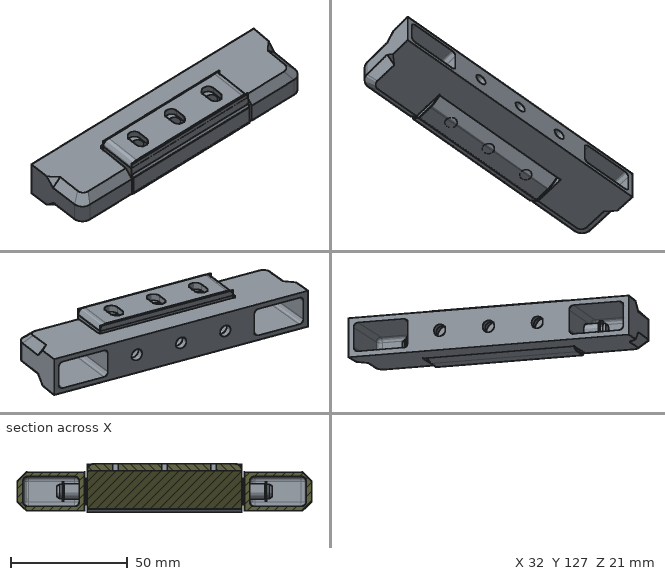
import cadquery as cq
import math


LENGTH = 127.0
DEPTH = 32.0
HEIGHT = 17.3
DRAFT = 1.0
DRAFT_SLOPE = math.tan(math.radians(DRAFT))
UPRIGHT_HALF = 4.5
CHAMFER_INSET = 4.3
OUTER_CORNER = 4.7
INNER_CORNER = 3.0
CHAMFER_START = 13.8
RUNOUT = 4.3
HALF_LENGTH = LENGTH / 2
HALF_HEIGHT = HEIGHT / 2

POCKET_INNER = 36.6
POCKET_OUTER = 61.1
POCKET_HEIGHT = 12.7
POCKET_DEPTH = 29.7
POCKET_LEAN = 0.8
POCKET_ROUNDING = 2.0

SCREW_HOLE = 5.2
FIXING_PITCH = 22.1
COUNTERBORE = 9.4
COUNTERBORE_FLOOR = 3.2

PIVOT_X = 22.7
BAY_HALF = 34.3
BAY_BACK = 10.9
BAY_CURVE = 14.2
BAY_CORNER = 1.5

LEAF_HALF = 33.21
SHEET = 0.5
COVER_BACK = 11.8
COVER_FRONT = 30.9
COVER_BOTTOM = -9.0
COVER_TOP = 11.5
BEND_RADIUS = 8.5
BEND_Z = COVER_BOTTOM + BEND_RADIUS
NOSE_UPPER = 4.3
NOSE_LOWER = -5.0
PLATE_TOP = 12.0
PLATE_THICKNESS = 3.0
PLATE_BOTTOM = PLATE_TOP - PLATE_THICKNESS
PLATE_ROUNDING = PLATE_THICKNESS
SLOT_X = 21.0
SLOT_PITCH = 21.1
SLOT_LENGTH = 10.3
SLOT_WIDTH = 5.8

PIN_DIAMETER = 6.6
PIN_INNER_END = 25.4
PIN_SHOULDER = 43.0
PIN_OUTER_END = 46.1
PIN_TIP_DIAMETER = 6.1
PIN_TIP_BEVEL_LENGTH = 1.1
PIN_TIP_BEVEL_DEPTH = 0.8
WASHER_DIAMETER = 11.3
WASHER_CHAMFER = 0.3
RING_DIAMETER = 8.4
RING_START = 43.3
RING_THICKNESS = 0.6
GROOVE_DIAMETER = 5.1


def side_cylinder(diameter, side, start, end):
    """Cylinder on the pivot axis between two distances from the middle, on one side (-1 or 1)."""
    plane = cq.Plane(origin=(PIVOT_X, side * start, 0), xDir=(1, 0, 0), normal=(0, side, 0))
    return cq.Workplane(plane).circle(diameter / 2).extrude(end - start)


def row_of_three(pitch):
    return [-pitch, 0, pitch]


def drafted_bar():
    return cq.Workplane("YZ").rect(LENGTH, HEIGHT).extrude(DEPTH, taper=DRAFT)


def front_outline(inset, corner_radius, z):
    """Plan outline of the chamfered front part at one height, its two front corners rounded."""
    back_half = HALF_LENGTH - DRAFT_SLOPE * CHAMFER_START - inset
    front_x = DEPTH - inset
    front_half = HALF_LENGTH - DRAFT_SLOPE * DEPTH - inset
    corners = [
        cq.Vector(CHAMFER_START, -back_half, z),
        cq.Vector(front_x, -front_half, z),
        cq.Vector(front_x, front_half, z),
        cq.Vector(CHAMFER_START, back_half, z),
    ]
    wire = cq.Wire.makePolygon(corners, close=True)
    return wire.fillet2D(corner_radius, [v for v in wire.Vertices() if v.X > CHAMFER_START + 1.3])


def chamfered_front():
    """Front part of the bar: an upright band between two chamfered layers."""
    band_bottom = front_outline(0, OUTER_CORNER, -UPRIGHT_HALF)
    front = cq.Workplane(
        cq.Solid.extrudeLinear(band_bottom, [], cq.Vector(0, 0, 2 * UPRIGHT_HALF))
    )
    for z_side in (-1, 1):
        outer = front_outline(0, OUTER_CORNER, z_side * UPRIGHT_HALF)
        inner = front_outline(CHAMFER_INSET, INNER_CORNER, z_side * HALF_HEIGHT)
        front = front.union(cq.Workplane(cq.Solid.makeLoft([outer, inner], True)))
    return front.intersect(drafted_bar())


def runout_facet(y_side, z_side):
    """Tetrahedron that ends a chamfer with one slanted facet."""
    drafted_away = DRAFT_SLOPE * CHAMFER_START
    rise = HALF_HEIGHT - UPRIGHT_HALF
    y_leg = CHAMFER_INSET + drafted_away
    z_leg = rise * y_leg / CHAMFER_INSET
    y = y_side * HALF_LENGTH
    z = z_side * HALF_HEIGHT
    corner = cq.Vector(CHAMFER_START, y, z)
    tips = [
        cq.Vector(CHAMFER_START - RUNOUT, y, z),
        cq.Vector(CHAMFER_START, y - y_side * y_leg, z),
        cq.Vector(CHAMFER_START, y, z - z_side * z_leg),
    ]
    triangles = [
        tips,
        [corner, tips[0], tips[1]],
        [corner, tips[1], tips[2]],
        [corner, tips[2], tips[0]],
    ]
    faces = [cq.Face.makeFromWires(cq.Wire.makePolygon(t, close=True)) for t in triangles]
    return cq.Solid.makeSolid(cq.Shell.makeShell(faces))


def square_back():
    """Full-section back of the bar, up to where the end chamfers begin."""
    back = drafted_bar().intersect(
        cq.Workplane("YZ").rect(2 * LENGTH, 2 * HEIGHT).extrude(CHAMFER_START)
    )
    for y_side in (-1, 1):
        for z_side in (-1, 1):
            back = back.cut(cq.Workplane(runout_facet(y_side, z_side)))
    return back


def bay():
    """Opening for the leaf, through the housing's height and open at the front."""
    curve_end_x = BAY_BACK + BAY_CURVE - math.sqrt(BAY_CURVE**2 - (BEND_Z + HALF_HEIGHT) ** 2)
    curve_angle = math.asin((BEND_Z + HALF_HEIGHT) / BAY_CURVE)
    curve_middle = (
        BAY_BACK + BAY_CURVE * (1 - math.cos(curve_angle / 2)),
        BEND_Z - BAY_CURVE * math.sin(curve_angle / 2),
    )
    profile = (
        cq.Workplane("XZ")
        .moveTo(BAY_BACK, HEIGHT)
        .lineTo(BAY_BACK, BEND_Z)
        .threePointArc(curve_middle, (curve_end_x, -HALF_HEIGHT))
        .lineTo(2 * DEPTH, -HALF_HEIGHT)
        .lineTo(2 * DEPTH, HEIGHT)
        .close()
        .extrude(LENGTH, both=True)
    )
    plan = (
        cq.Workplane("XY")
        .rect(2 * (2 * DEPTH - BAY_BACK), 2 * BAY_HALF)
        .extrude(HEIGHT, both=True)
        .translate((2 * DEPTH, 0, 0))
        .edges("|Z and <X")
        .fillet(BAY_CORNER)
    )
    return profile.intersect(plan)


def pocket(side):
    """Deep pocket in the back face, its outer wall leaning in, all inner edges rounded."""
    plan = [
        (0, side * POCKET_INNER),
        (POCKET_DEPTH, side * POCKET_INNER),
        (POCKET_DEPTH, side * (POCKET_OUTER - POCKET_LEAN)),
        (0, side * POCKET_OUTER),
    ]
    return (
        cq.Workplane("XY")
        .polyline(plan)
        .close()
        .extrude(POCKET_HEIGHT / 2, both=True)
        .edges("not <X")
        .fillet(POCKET_ROUNDING)
    )


def fixing_holes():
    places = [(y, 0) for y in row_of_three(FIXING_PITCH)]
    holes = cq.Workplane("YZ").pushPoints(places).circle(SCREW_HOLE / 2).extrude(PIVOT_X)
    counterbores = (
        cq.Workplane("YZ", origin=(COUNTERBORE_FLOOR, 0, 0))
        .pushPoints(places)
        .circle(COUNTERBORE / 2)
        .extrude(PIVOT_X - COUNTERBORE_FLOOR)
    )
    return holes.union(counterbores)


def make_housing():
    body = square_back().union(chamfered_front()).cut(bay()).cut(fixing_holes())
    for side in (-1, 1):
        body = body.cut(pocket(side))
        body = body.cut(side_cylinder(PIN_DIAMETER, side, PIN_INNER_END, PIN_SHOULDER))
    return body


def leaf_outline(inset):
    """Solid with the leaf's section moved inwards by inset, flat at the cover's top edge."""
    slope_shift = inset * math.tan(math.pi / 8)
    back = COVER_BACK + inset
    front = COVER_FRONT - inset
    nose = DEPTH - inset
    bottom = COVER_BOTTOM + inset
    radius = BEND_RADIUS - inset
    bend_x = COVER_BACK + BEND_RADIUS
    diagonal = radius * math.sqrt(0.5)
    return (
        cq.Workplane("XZ", origin=(0, LEAF_HALF, 0))
        .moveTo(back, COVER_TOP)
        .lineTo(back, BEND_Z)
        .threePointArc((bend_x - diagonal, BEND_Z - diagonal), (bend_x, bottom))
        .lineTo(DEPTH - (NOSE_LOWER - COVER_BOTTOM) - slope_shift, bottom)
        .lineTo(nose, NOSE_LOWER + slope_shift)
        .lineTo(nose, NOSE_UPPER - slope_shift)
        .lineTo(front, NOSE_UPPER + DEPTH - COVER_FRONT - slope_shift)
        .lineTo(front, COVER_TOP)
        .close()
        .extrude(2 * LEAF_HALF)
    )


def make_cover():
    return leaf_outline(0).cut(leaf_outline(SHEET))


def make_core():
    above = cq.Workplane("XY", origin=(PIVOT_X, 0, PLATE_BOTTOM)).rect(LENGTH, LENGTH).extrude(HEIGHT)
    holes = (
        cq.Workplane("XY", origin=(0, 0, -HEIGHT))
        .pushPoints([(SLOT_X, y) for y in row_of_three(SLOT_PITCH)])
        .circle(SCREW_HOLE / 2)
        .extrude(2 * HEIGHT)
    )
    core = leaf_outline(SHEET).cut(above).cut(holes)
    for side in (-1, 1):
        core = core.cut(side_cylinder(PIN_DIAMETER, side, PIN_INNER_END, LEAF_HALF))
    return core


def make_plate():
    """Slotted top plate, its two end edges rounded over the full thickness."""
    slots = (
        cq.Workplane("XY", origin=(0, 0, PLATE_BOTTOM))
        .pushPoints([(SLOT_X, y) for y in row_of_three(SLOT_PITCH)])
        .slot2D(SLOT_LENGTH, SLOT_WIDTH)
        .extrude(PLATE_THICKNESS)
    )
    width = COVER_FRONT - COVER_BACK - 2 * SHEET
    flat_half = LEAF_HALF - PLATE_ROUNDING
    diagonal = PLATE_ROUNDING * math.sqrt(0.5)
    return (
        cq.Workplane("YZ", origin=(COVER_BACK + SHEET, 0, 0))
        .moveTo(-LEAF_HALF, PLATE_BOTTOM)
        .lineTo(LEAF_HALF, PLATE_BOTTOM)
        .threePointArc((flat_half + diagonal, PLATE_BOTTOM + diagonal), (flat_half, PLATE_TOP))
        .lineTo(-flat_half, PLATE_TOP)
        .threePointArc((-flat_half - diagonal, PLATE_BOTTOM + diagonal), (-LEAF_HALF, PLATE_BOTTOM))
        .close()
        .extrude(width)
        .cut(slots)
    )


def ring_space(side):
    return side_cylinder(RING_DIAMETER, side, RING_START, RING_START + RING_THICKNESS)


def make_ring(side):
    """Retaining ring that sits in the pin's groove."""
    bore = side_cylinder(GROOVE_DIAMETER, side, PIN_INNER_END, PIN_OUTER_END)
    return ring_space(side).cut(bore)


def make_pin(side):
    """Pivot pin with a ring groove and a bevelled, slightly thinner tip."""
    shank = side_cylinder(PIN_DIAMETER, side, PIN_INNER_END, PIN_SHOULDER)
    tip = side_cylinder(PIN_TIP_DIAMETER, side, PIN_SHOULDER, PIN_OUTER_END)
    tip = tip.faces(">Y" if side > 0 else "<Y").chamfer(PIN_TIP_BEVEL_LENGTH, PIN_TIP_BEVEL_DEPTH)
    return shank.union(tip).cut(make_ring(side))


def make_washer(side):
    """Washer between the leaf's end and the housing."""
    bore = side_cylinder(PIN_DIAMETER, side, PIN_INNER_END, PIN_SHOULDER)
    disc = side_cylinder(WASHER_DIAMETER, side, LEAF_HALF, BAY_HALF)
    return disc.faces("<Y" if side > 0 else ">Y").chamfer(WASHER_CHAMFER).cut(bore)


housing = make_housing()
cover = make_cover()
core = make_core()
plate = make_plate()
pins = [make_pin(side) for side in (-1, 1)]
rings = [make_ring(side) for side in (-1, 1)]
washers = [make_washer(side) for side in (-1, 1)]

result = cq.Compound.makeCompound(
    [housing.val(), cover.val(), core.val(), plate.val()]
    + [part.val() for part in pins + rings + washers]
)